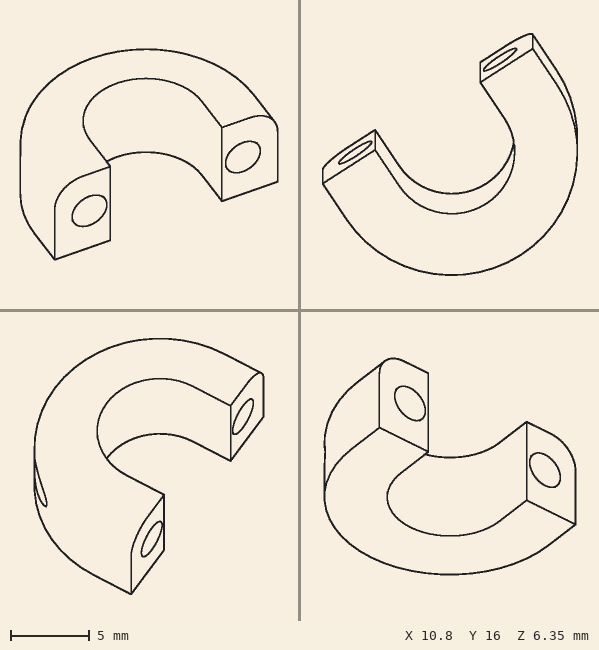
import cadquery as cq

outer_radius = 8.0
inner_radius = outer_radius / 2
leg_length = 2.8
height = 6.35
edge_radius = 2.0
hole_diameter = 2.5
hole_offset = 5.5
hole_height = height / 2


def u_prism(radius):
    """Half-round prism about the origin with straight sides running to the leg ends."""
    return (
        cq.Workplane("XY")
        .moveTo(leg_length, radius)
        .lineTo(0, radius)
        .threePointArc((-radius, 0), (0, -radius))
        .lineTo(leg_length, -radius)
        .close()
        .extrude(height)
    )


body = u_prism(outer_radius)
body = body.faces(">Z").edges("not >X").fillet(edge_radius)

body = body.cut(u_prism(inner_radius))

holes = (
    cq.Workplane("YZ", origin=(-outer_radius, 0, 0))
    .pushPoints([(side * hole_offset, hole_height) for side in (-1, 1)])
    .circle(hole_diameter / 2)
    .extrude(outer_radius + leg_length)
)

result = body.cut(holes)